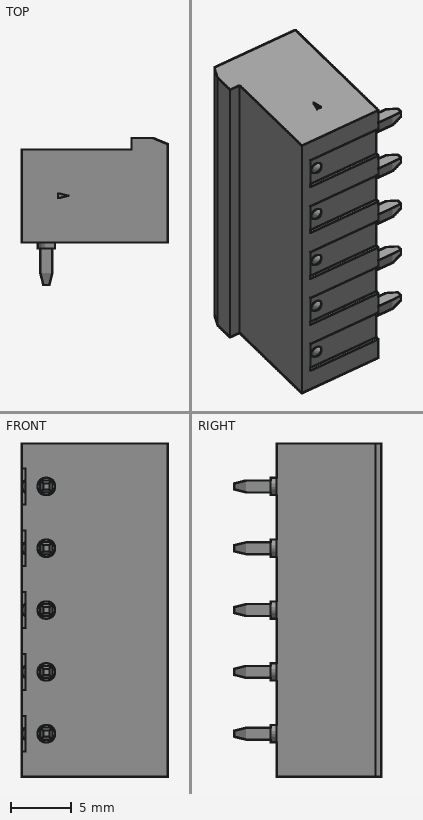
import cadquery as cq

width = 12.0
height = 27.4
body_depth = 7.65
rail_height = 0.95
rail_start_x = 9.0
rail_slope_start_x = 10.8
rail_slope_drop = 0.5

pin_count = 5
pin_pitch = 5.08
pin_x = 2.02
collar_diameter = 1.44
collar_length = 0.5
pin_size = 1.0
pin_length = 3.5
tip_length = 1.0
tip_size = 0.5

recess_depth = 0.3
recess_width = 2.95
recess_length = 6.8
bump_y = 6.0
bump_radius = 0.5
bump_height = 0.3

arrow_start_x = 3.0
arrow_length = 0.85
arrow_width = 0.4
arrow_y = 3.85
arrow_depth = 0.2

first_pin_z = (height - (pin_count - 1) * pin_pitch) / 2


def make_housing():
    rail_top_y = body_depth + rail_height
    outline = [
        (0, 0),
        (width, 0),
        (width, rail_top_y - rail_slope_drop),
        (rail_slope_start_x, rail_top_y),
        (rail_start_x, rail_top_y),
        (rail_start_x, body_depth),
        (0, body_depth),
    ]
    return cq.Workplane("XY").polyline(outline).close().extrude(height)


def make_recess(z):
    pin_level = cq.Workplane("XY", origin=(0, 0, z))
    return pin_level.box(recess_depth, recess_length, recess_width, centered=(False, False, True))


def make_bump(z):
    """Sphere whose cap stands out of the recess floor; the rest merges into the housing."""
    sphere_radius = (bump_radius**2 + bump_height**2) / (2 * bump_height)
    peak_x = recess_depth - bump_height
    return cq.Workplane("XY").sphere(sphere_radius).translate((peak_x + sphere_radius, bump_y, z))


def make_pin(z):
    """Square pin with a round collar and a tapered tip, pointing along -Y."""
    face = cq.Workplane("XZ", origin=(pin_x, 0, z))
    collar = face.circle(collar_diameter / 2).extrude(collar_length)
    shank_length = pin_length - tip_length
    shank = face.rect(pin_size, pin_size).extrude(shank_length)
    tip = (
        face.workplane(offset=shank_length)
        .rect(pin_size, pin_size)
        .workplane(offset=tip_length)
        .rect(tip_size, tip_size)
        .loft(ruled=True)
    )
    return collar.union(shank).union(tip)


def make_arrow():
    corners = [
        (arrow_start_x, arrow_y - arrow_width / 2),
        (arrow_start_x + arrow_length, arrow_y),
        (arrow_start_x, arrow_y + arrow_width / 2),
    ]
    top = cq.Workplane("XY").workplane(offset=height)
    return top.polyline(corners).close().extrude(-arrow_depth)


result = make_housing().cut(make_arrow())
for index in range(pin_count):
    pin_z = first_pin_z + index * pin_pitch
    result = result.cut(make_recess(pin_z))
    result = result.union(make_bump(pin_z))
    result = result.union(make_pin(pin_z))